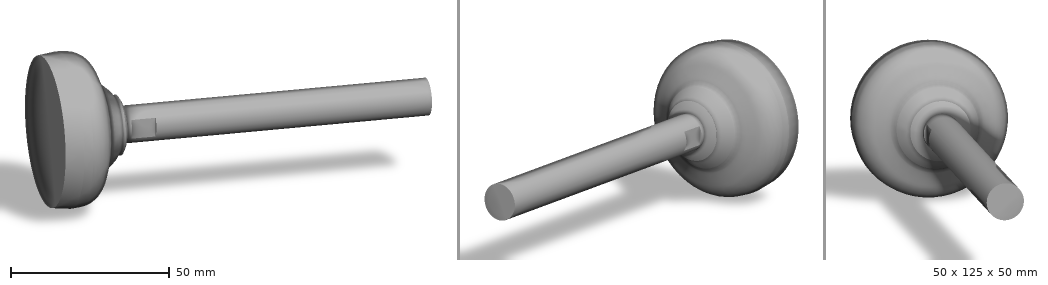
import cadquery as cq

total_length = 125.0
foot_radius = 25.0

base_radius = 24.2
widest_height = 6.0
shoulder_start_height = 9.0
shoulder_start_radius = 24.8
shoulder_mid_height = 13.5
shoulder_mid_radius = 22.9
shoulder_end_height = 15.9
shoulder_end_radius = 19.4
neck_start_height = 17.8
neck_start_radius = 14.9
foot_top_height = 19.2
foot_top_radius = 13.2

dome_mid_height = 21.4
dome_mid_radius = 11.4
dome_top_height = 23.0
collar_bottom_radius = 9.2
collar_rim_height = 23.8
collar_rim_radius = 9.8
collar_mid_height = 24.8
collar_mid_radius = 8.0
collar_top_height = 25.2
rod_radius = 6.0

flat_start = 26.8
flat_length = 8.0
across_flats = 10.2


def revolve_about_y(profile):
    """Close a half profile and turn it fully around the Y axis."""
    return profile.close().revolve(360, (0, 0, 0), (0, 1, 0))


def make_foot():
    """Round foot with a tapered rim, rounded shoulder, sloped top and hollow-curved neck."""
    profile = (
        cq.Workplane("XY")
        .lineTo(base_radius, 0)
        .lineTo(foot_radius, widest_height)
        .lineTo(shoulder_start_radius, shoulder_start_height)
        .threePointArc(
            (shoulder_mid_radius, shoulder_mid_height),
            (shoulder_end_radius, shoulder_end_height),
        )
        .lineTo(neck_start_radius, neck_start_height)
        .tangentArcPoint((foot_top_radius, foot_top_height), relative=False)
        .lineTo(0, foot_top_height)
    )
    return revolve_about_y(profile)


def make_flat_cutters():
    """Two boxes that leave the distance across the flats between them."""
    box_center_offset = across_flats / 2 + rod_radius / 2
    return (
        cq.Workplane("XY")
        .pushPoints([(-box_center_offset, 0), (box_center_offset, 0)])
        .box(rod_radius, flat_length, 2 * rod_radius)
        .translate((0, flat_start + flat_length / 2, 0))
    )


def make_stem():
    """Rod with a domed collar and spherical seat resting on top of the foot."""
    profile = (
        cq.Workplane("XY")
        .moveTo(0, foot_top_height)
        .lineTo(foot_top_radius, foot_top_height)
        .threePointArc((dome_mid_radius, dome_mid_height), (collar_bottom_radius, dome_top_height))
        .lineTo(collar_rim_radius, collar_rim_height)
        .threePointArc((collar_mid_radius, collar_mid_height), (rod_radius, collar_top_height))
        .lineTo(rod_radius, total_length)
        .lineTo(0, total_length)
    )
    return revolve_about_y(profile).cut(make_flat_cutters())


foot = make_foot()
stem = make_stem()

result = cq.Compound.makeCompound([foot.val(), stem.val()])